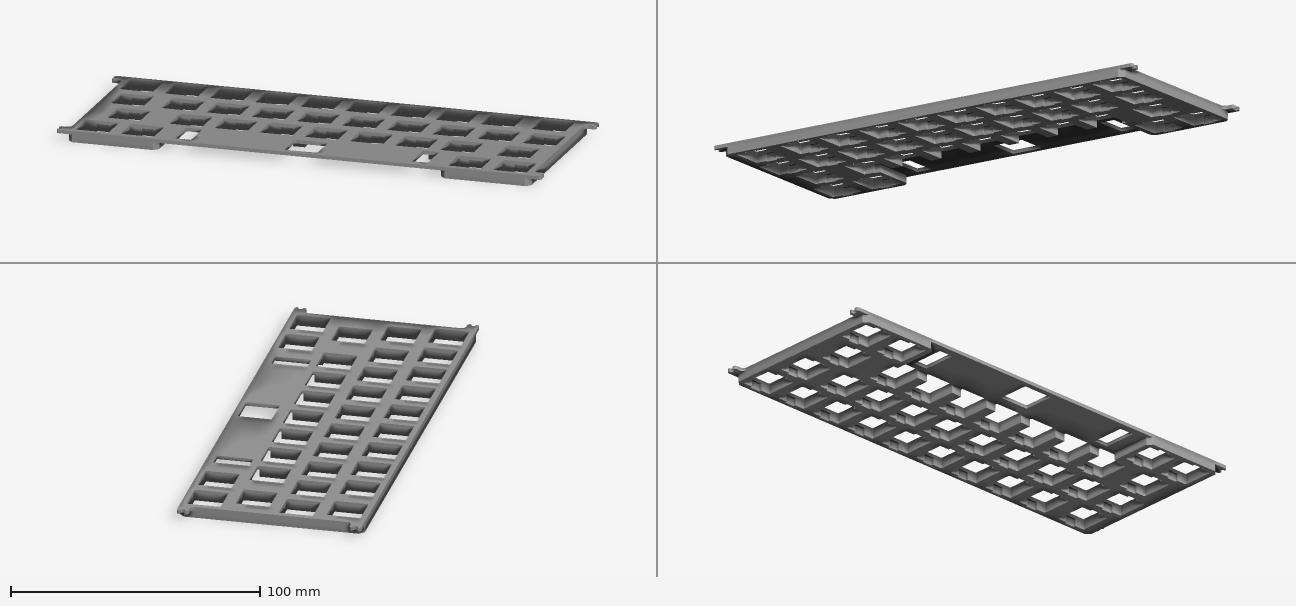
import cadquery as cq

space_key = 6.25

key_rows = [
    [1, 1, space_key, 1, 1],
    [1.75] + [1] * 7 + [1.5],
    [1.25] + [1] * 9,
    [1] * 9 + [1.25],
]

total_length = 204.7
total_thickness = 4.7
plate_thickness = 1.5
row_width = 195.3
key_pitch = row_width / sum(key_rows[0])
plate_depth = len(key_rows) * key_pitch
frame_thickness = total_thickness - plate_thickness

tab_depth = 5.0
tab_corner_radius = 1.0
tab_root_radius = 2.0
tab_notch_radius = 1.0
tab_notch_offset = tab_depth / 2
tab_notch_inset = 0.5

corner_chamfer = 2.0
space_width = space_key * key_pitch
recess_overrun = 3.3
recess_depth = key_pitch + recess_overrun

clip_depth = 0.98
clip_shoulder = 4.5
wall_between_clips = 3.0
switch_size = key_pitch - wall_between_clips - 2 * clip_depth
switch_corner_radius = 0.51
clip_width = switch_size - 2 * clip_shoulder

stabiliser_spacing = 99.9
slot_width = 6.8
slot_length = 15.0
slot_shift = 1.5


def key_centres():
    """Centre points of all keys, with each row running from the left side to the right."""
    centres = []
    for row, widths in enumerate(key_rows):
        y = (row + 0.5) * key_pitch - plate_depth / 2
        left = -row_width / 2
        for width in widths:
            centres.append((left + width * key_pitch / 2, y))
            left += width * key_pitch
    return centres


def make_plate():
    """Thin top plate with a rounded, notched tab at each corner."""
    plate = cq.Workplane("XY").box(total_length, plate_depth, plate_thickness, centered=(True, True, False))
    tab_length = (total_length - row_width) / 2
    side_gaps = (
        cq.Workplane("XY")
        .pushPoints([(-total_length / 2, 0), (total_length / 2, 0)])
        .rect(2 * tab_length, plate_depth - 2 * tab_depth)
        .extrude(plate_thickness)
        .edges("|Z")
        .fillet(tab_root_radius)
    )
    plate = plate.cut(side_gaps).edges("|Z and (<X or >X)").fillet(tab_corner_radius)
    notches = (
        cq.Workplane("XY")
        .rect(total_length - 2 * tab_notch_inset, plate_depth - 2 * tab_notch_offset, forConstruction=True)
        .vertices()
        .circle(tab_notch_radius)
        .extrude(plate_thickness)
    )
    return plate.cut(notches)


def make_frame():
    """Deep frame under the plate, open at the front below the space bar."""
    back = plate_depth / 2
    front = -back
    side = row_width / 2
    recess_side = space_width / 2
    recess_back = front + recess_depth
    right_half = [
        (recess_side, recess_back),
        (recess_side, front + corner_chamfer),
        (recess_side + corner_chamfer, front),
        (side - corner_chamfer, front),
        (side, front + corner_chamfer),
        (side, back - corner_chamfer),
        (side - corner_chamfer, back),
    ]
    left_half = [(-x, y) for x, y in reversed(right_half)]
    return cq.Workplane("XY").polyline(right_half + left_half).close().extrude(-frame_thickness)


def make_switch_openings():
    """Square openings through everything, with clip notches below the plate."""
    centres = key_centres()
    openings = (
        cq.Workplane("XY", origin=(0, 0, -frame_thickness))
        .pushPoints(centres)
        .rect(switch_size, switch_size)
        .extrude(total_thickness)
        .edges("|Z")
        .fillet(switch_corner_radius)
    )
    clips = (
        cq.Workplane("XY")
        .pushPoints(centres)
        .rect(clip_width, switch_size + 2 * clip_depth)
        .extrude(-frame_thickness)
    )
    return openings.union(clips)


def make_stabiliser_slots():
    """Two slots through the plate, spaced evenly about the space bar switch."""
    slot_y = key_pitch / 2 + slot_shift - plate_depth / 2
    return (
        cq.Workplane("XY")
        .pushPoints([(-stabiliser_spacing / 2, slot_y), (stabiliser_spacing / 2, slot_y)])
        .rect(slot_width, slot_length)
        .extrude(plate_thickness)
    )


plate_and_frame = make_plate().union(make_frame())
result = plate_and_frame.cut(make_switch_openings()).cut(make_stabiliser_slots())